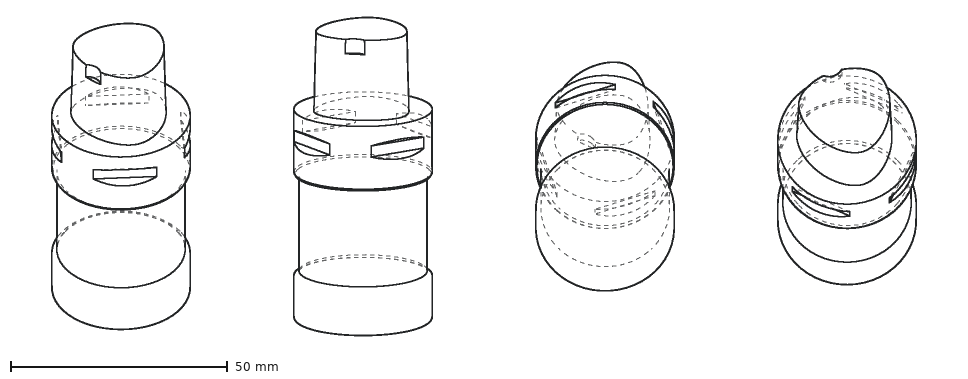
import cadquery as cq
import math

total_height = 69.0
shoulder_z = 50.0
flange_bottom_z = 35.05
ring_top_z = 11.45

flange_radius = 32.0 / 2
neck_radius = 29.7 / 2
flange_chamfer_width = 0.3
flange_chamfer_height = 0.5
neck_fillet = 0.6

ring_cove_radius = 0.8
ring_shoulder_z = ring_top_z - ring_cove_radius
ring_top_round = flange_radius - neck_radius - ring_cove_radius
ring_bottom_round = 0.55

shank_mean_radius = 22.0 / 2
lobe_offset = 0.7
taper = 1 / 20
points_per_turn = 72

notch_depth_z = 3.4
notch_radius = 3.3
notch_inner_y = -8.8

slot_count = 4
slot_first_angle = 45.0
slot_z = 44.0
slot_floor_height = 2.6
slot_floor_radius = 14.2
slot_side_angle = 30.0
slot_overshoot = 0.7


def lobed_point(mean_radius, angle):
    """Point of a three-lobed hypotrochoid with one lobe toward +Y."""
    x = mean_radius * math.sin(angle) + lobe_offset * (2 * math.sin(2 * angle) + math.sin(4 * angle))
    y = -mean_radius * math.cos(angle) + lobe_offset * (2 * math.cos(2 * angle) - math.cos(4 * angle))
    return cq.Vector(x, y, 0)


def lobed_wire(mean_radius, z):
    angles = [2 * math.pi * i / points_per_turn for i in range(points_per_turn)]
    points = [lobed_point(mean_radius, angle) + cq.Vector(0, 0, z) for angle in angles]
    return cq.Wire.assembleEdges([cq.Edge.makeSpline(points, periodic=True)])


def make_shank():
    height = total_height - shoulder_z
    top_radius = shank_mean_radius - taper * height / 2
    foot = lobed_wire(shank_mean_radius, shoulder_z)
    top = lobed_wire(top_radius, total_height)
    shank = cq.Workplane(obj=cq.Solid.makeLoft([foot, top], True))
    notch = (
        cq.Workplane("XY", origin=(0, notch_inner_y - notch_radius, total_height - notch_depth_z))
        .circle(notch_radius)
        .extrude(notch_depth_z)
    )
    return shank.cut(notch)


def make_flange_and_neck():
    chamfer_radius = flange_radius - flange_chamfer_width
    chamfer_z = flange_bottom_z - flange_chamfer_height
    fillet_mid = neck_fillet * (1 - math.sqrt(0.5))
    return (
        cq.Workplane("XZ")
        .moveTo(0, ring_top_z)
        .lineTo(neck_radius, ring_top_z)
        .lineTo(neck_radius, chamfer_z - neck_fillet)
        .threePointArc(
            (neck_radius + fillet_mid, chamfer_z - fillet_mid),
            (neck_radius + neck_fillet, chamfer_z),
        )
        .lineTo(chamfer_radius, chamfer_z)
        .lineTo(flange_radius, flange_bottom_z)
        .lineTo(flange_radius, shoulder_z)
        .lineTo(0, shoulder_z)
        .close()
        .revolve(360, (0, 0, 0), (0, 1, 0))
    )


def make_gripper_slot(angle):
    """Flat-floored slot tool whose side walls flare outward."""
    reach = flange_radius - slot_floor_radius + slot_overshoot
    flare = reach * math.tan(math.radians(slot_side_angle))
    half_floor = slot_floor_height / 2
    outer_x = slot_floor_radius + reach
    return (
        cq.Workplane("XZ", origin=(0, 0, slot_z))
        .moveTo(slot_floor_radius, -half_floor)
        .lineTo(outer_x, -half_floor - flare)
        .lineTo(outer_x, half_floor + flare)
        .lineTo(slot_floor_radius, half_floor)
        .close()
        .extrude(flange_radius, both=True)
        .rotate((0, 0, 0), (0, 0, 1), angle)
    )


def make_holder():
    holder = make_flange_and_neck().union(make_shank())
    for i in range(slot_count):
        holder = holder.cut(make_gripper_slot(slot_first_angle + i * 360 / slot_count))
    return holder


def make_end_ring():
    cove_mid = ring_cove_radius * (1 - math.sqrt(0.5))
    round_mid = ring_top_round * (1 - math.sqrt(0.5))
    ring = (
        cq.Workplane("XZ")
        .lineTo(flange_radius, 0)
        .lineTo(flange_radius, ring_shoulder_z - ring_top_round)
        .threePointArc(
            (flange_radius - round_mid, ring_shoulder_z - round_mid),
            (flange_radius - ring_top_round, ring_shoulder_z),
        )
        .threePointArc(
            (neck_radius + cove_mid, ring_shoulder_z + cove_mid),
            (neck_radius, ring_top_z),
        )
        .lineTo(0, ring_top_z)
        .close()
        .revolve(360, (0, 0, 0), (0, 1, 0))
    )
    return ring.faces("<Z").edges().fillet(ring_bottom_round)


holder = make_holder()
end_ring = make_end_ring()
result = cq.Compound.makeCompound([holder.val(), end_ring.val()])